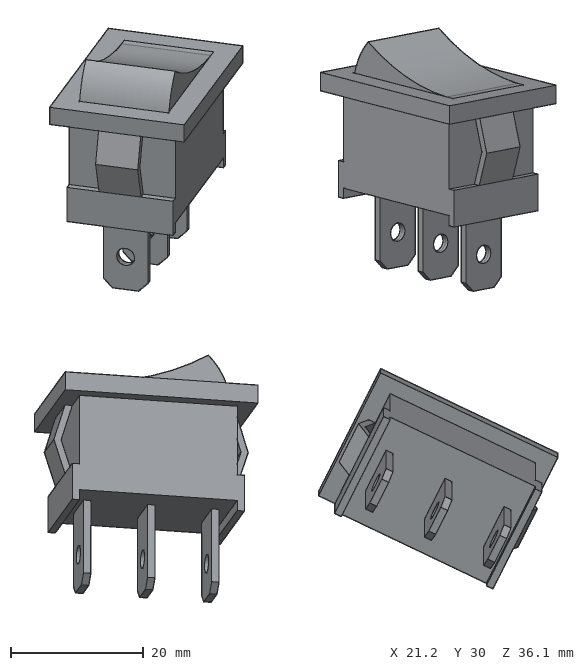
import cadquery as cq
import math


TOTAL_HEIGHT = 36.1
FOOT_BOTTOM = 11.37
BODY_BOTTOM = 12.95
LEDGE_TOP = 17.05
CLIP_APEX_HEIGHT = 22.3
BEZEL_BOTTOM = 27.87
BEZEL_TOP = 30.72

BEZEL_WIDTH = 21.23
BEZEL_LENGTH = 29.75
BODY_WIDTH = 16.75
BODY_LENGTH = 24.33
WALL = 1.12

CLIP_WIDTH = 6.65
CLIP_SPAN = 30.0

TERMINAL_WIDTH = 7.0
TERMINAL_THICKNESS = 1.15
TERMINAL_PITCH = 9.9
TERMINAL_CHAMFER = 1.45
TERMINAL_HOLE_DIAMETER = 2.8
TERMINAL_HOLE_HEIGHT = 5.4

ROCKER_WIDTH = 14.08
ROCKER_RADIUS = 11.48
ROCKER_FLAT_LENGTH = 1.35
THUMB_RADIUS = 36.82

BODY_END = BODY_LENGTH / 2
LEDGE_END = BODY_END + WALL
CLIP_APEX = CLIP_SPAN / 2
ROCKER_LENGTH = 2 * ROCKER_RADIUS


def box_between(width, length, bottom, top):
    """Box centred on the Z axis that spans two heights."""
    return cq.Workplane("XY").workplane(offset=bottom).rect(width, length).extrude(top - bottom)


def make_side_extrusion(outline, width):
    """Extrude a closed YZ outline symmetrically along X."""
    return outline.close().extrude(width / 2, both=True)


def make_end_ledge(side):
    """Raised band across one end of the body that runs down into a foot; side is -1 or 1."""
    ledge = box_between(BODY_WIDTH, WALL, FOOT_BOTTOM, LEDGE_TOP)
    return ledge.translate((0, side * (BODY_END + WALL / 2), 0))


def make_clip(side):
    """Bent snap clip between the ledge and the bezel; side is -1 or 1."""
    outline = cq.Workplane("YZ").polyline([
        (side * BODY_END, LEDGE_TOP),
        (side * LEDGE_END, LEDGE_TOP),
        (side * CLIP_APEX, CLIP_APEX_HEIGHT),
        (side * LEDGE_END, BEZEL_BOTTOM),
        (side * BODY_END, BEZEL_BOTTOM),
        (side * (CLIP_APEX - WALL), CLIP_APEX_HEIGHT),
    ])
    return make_side_extrusion(outline, CLIP_WIDTH)


def make_terminal(y):
    """Flat terminal blade with chamfered tip corners and a round hole."""
    blade = box_between(TERMINAL_WIDTH, TERMINAL_THICKNESS, 0, BODY_BOTTOM)
    blade = blade.faces("<Z").edges("|Y").chamfer(TERMINAL_CHAMFER)
    hole = (
        cq.Workplane("XZ")
        .center(0, TERMINAL_HOLE_HEIGHT)
        .circle(TERMINAL_HOLE_DIAMETER / 2)
        .extrude(TERMINAL_THICKNESS, both=True)
    )
    return blade.cut(hole).translate((0, y, 0))


def make_housing():
    """Bezel with a rocker pocket, body, end ledges, snap clips and terminals as one solid."""
    bezel = box_between(BEZEL_WIDTH, BEZEL_LENGTH, BEZEL_BOTTOM, BEZEL_TOP)
    pocket = box_between(ROCKER_WIDTH, ROCKER_LENGTH, BEZEL_BOTTOM, BEZEL_TOP)
    housing = bezel.cut(pocket).union(box_between(BODY_WIDTH, BODY_LENGTH, BODY_BOTTOM, BEZEL_BOTTOM))
    for side in (-1, 1):
        housing = housing.union(make_end_ledge(side))
        housing = housing.union(make_clip(side))
    for position in (-1, 0, 1):
        housing = housing.union(make_terminal(position * TERMINAL_PITCH))
    return housing


def point_on_nose(height):
    """Point of the nose arc at a height above the arc centre."""
    return (-math.sqrt(ROCKER_RADIUS**2 - height**2), BEZEL_BOTTOM + height)


def make_rocker():
    """Rocker with a convex nose at -Y, a concave thumb surface and a flush strip at +Y."""
    peak_height = TOTAL_HEIGHT - BEZEL_BOTTOM
    peak = point_on_nose(peak_height)
    nose_middle = point_on_nose(peak_height / 2)
    thumb_end = (ROCKER_RADIUS - ROCKER_FLAT_LENGTH, BEZEL_TOP)

    run = thumb_end[0] - peak[0]
    drop = peak[1] - thumb_end[1]
    chord = math.hypot(run, drop)
    sagitta = THUMB_RADIUS - math.sqrt(THUMB_RADIUS**2 - (chord / 2)**2)
    thumb_middle = (
        (peak[0] + thumb_end[0]) / 2 - sagitta * drop / chord,
        (peak[1] + thumb_end[1]) / 2 - sagitta * run / chord,
    )

    outline = (
        cq.Workplane("YZ")
        .moveTo(ROCKER_RADIUS, BEZEL_BOTTOM)
        .lineTo(-ROCKER_RADIUS, BEZEL_BOTTOM)
        .threePointArc(nose_middle, peak)
        .threePointArc(thumb_middle, thumb_end)
        .lineTo(ROCKER_RADIUS, BEZEL_TOP)
    )
    return make_side_extrusion(outline, ROCKER_WIDTH)


housing = make_housing()
rocker = make_rocker()

result = cq.Compound.makeCompound([housing.val(), rocker.val()])